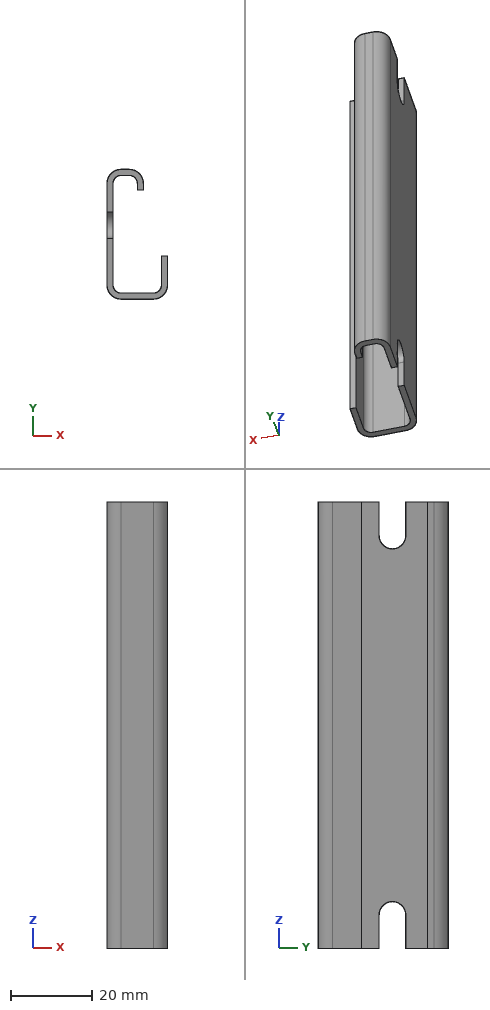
import cadquery as cq

length = 110.0
web_width = 32.0
wide_flange = 15.0
narrow_flange = 9.0

thickness = 1.5
bend_radius = 3.5
inner_radius = bend_radius - thickness

wide_lip = 10.7
narrow_lip = 5.2

slot_width = 6.5
slot_depth = 11.5
slot_offset = 13.8

slot_y = web_width - slot_offset


def bent_tube(width, height):
    """Closed rounded tube of sheet thickness with one corner at the origin."""
    outer = cq.Workplane("XY").box(width, height, length, centered=False)
    outer = outer.edges("|Z").fillet(bend_radius)
    inner_width = width - 2 * thickness
    inner_height = height - 2 * thickness
    inner = cq.Workplane("XY").box(inner_width, inner_height, length, centered=False)
    inner = inner.edges("|Z").fillet(inner_radius)
    return outer.cut(inner.translate((thickness, thickness, 0)))


def hooked_side(flange, lip, web_part):
    """Flange at Y = 0 with its return lip and a length of web."""
    tube = bent_tube(flange, web_width)
    trim = cq.Workplane("XY").box(flange, web_width, length, centered=False)
    above_web = trim.translate((thickness - flange, web_part, 0))
    above_lip = trim.translate((thickness, lip, 0))
    return tube.cut(above_web).cut(above_lip)


def end_slot():
    """Slot cutter entering the web from the bottom end, with a round closed end."""
    radius = slot_width / 2
    straight = slot_depth - radius
    return (
        cq.Workplane("YZ")
        .moveTo(slot_y - radius, 0)
        .lineTo(slot_y - radius, straight)
        .threePointArc((slot_y, slot_depth), (slot_y + radius, straight))
        .lineTo(slot_y + radius, 0)
        .close()
        .extrude(thickness)
    )


mid_web = web_width / 2
wide_side = hooked_side(wide_flange, wide_lip, mid_web)
narrow_side = hooked_side(narrow_flange, narrow_lip, mid_web)
narrow_side = narrow_side.mirror("XZ").translate((0, web_width, 0))
channel = wide_side.union(narrow_side).clean()

bottom_slot = end_slot()
top_slot = bottom_slot.mirror("XY").translate((0, 0, length))
result = channel.cut(bottom_slot).cut(top_slot)